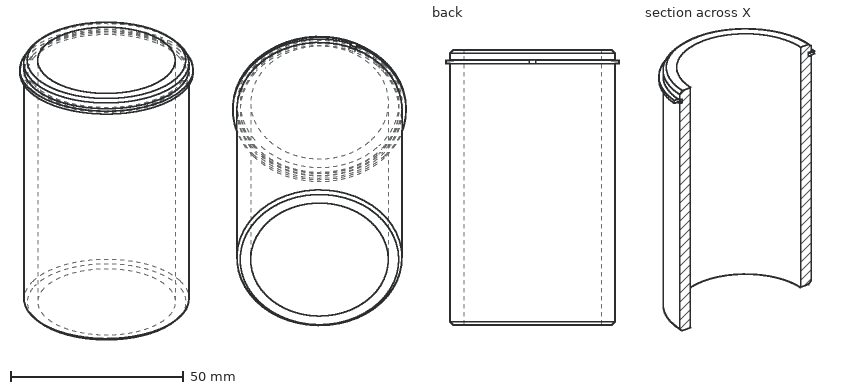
import cadquery as cq

length = 80.0
sleeve_diameter = 48.0
bore_diameter = 40.0
end_chamfer = 1.0

ring_diameter = 50.4
ring_thickness = 1.0
ring_gap = 1.9
groove_depth = 1.0
groove_clearance = 0.2
groove_top_offset = 2.9

groove_floor_diameter = sleeve_diameter - 2 * groove_depth
groove_width = ring_thickness + groove_clearance
groove_bottom = length - groove_top_offset - groove_width


def tube(outer_diameter, inner_diameter, height, bottom):
    """Plain tube about the Z axis, starting at height `bottom`."""
    return (
        cq.Workplane("XY", origin=(0, 0, bottom))
        .circle(outer_diameter / 2)
        .circle(inner_diameter / 2)
        .extrude(height)
    )


def make_sleeve():
    """Tube with chamfered outer rims and a ring groove near its top end."""
    blank = cq.Workplane("XY").circle(sleeve_diameter / 2).extrude(length)
    blank = blank.faces("<Z or >Z").edges().chamfer(end_chamfer)
    bore = cq.Workplane("XY").circle(bore_diameter / 2).extrude(length)
    groove = tube(ring_diameter, groove_floor_diameter, groove_width, groove_bottom)
    return blank.cut(bore).cut(groove)


def make_retaining_ring():
    """Flat ring resting on the groove's lower wall, split on its +Y side."""
    ring = tube(ring_diameter, groove_floor_diameter, ring_thickness, groove_bottom)
    gap = (
        cq.Workplane("XY", origin=(0, 0, groove_bottom))
        .rect(ring_gap, ring_diameter)
        .extrude(ring_thickness)
        .translate((0, ring_diameter / 2, 0))
    )
    return ring.cut(gap)


sleeve = make_sleeve()
retaining_ring = make_retaining_ring()

result = cq.Compound.makeCompound([sleeve.val(), retaining_ring.val()])